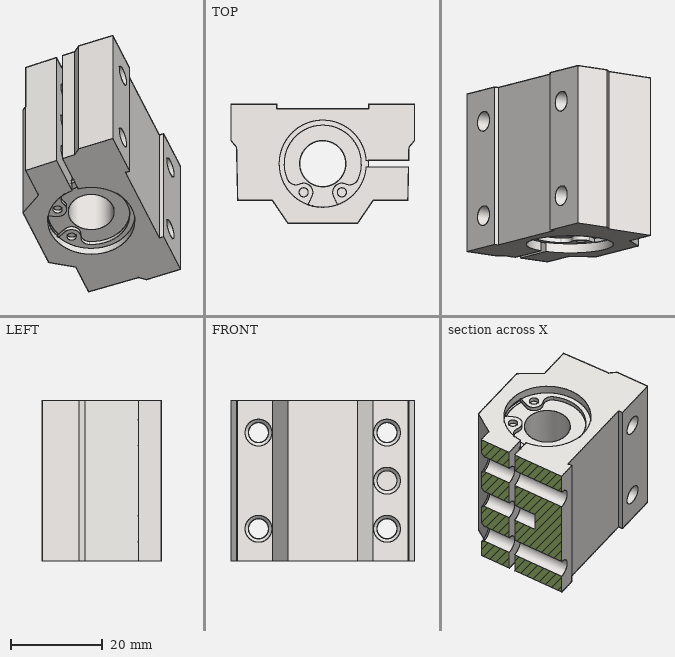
import math

import cadquery as cq

HEIGHT = 35.0
HALF_WIDTH = 20.0
HALF_DEPTH = 13.0
FLANGE_EDGE_Y = 5.0
WAIST_HALF_WIDTH = 18.8
WAIST_Y = 3.6
SHOULDER_HALF_WIDTH = 18.55
SHOULDER_Y = -8.0
BOSS_BASE_HALF_WIDTH = 11.0
BOSS_TIP_HALF_WIDTH = 7.6
RELIEF_HALF_WIDTH = 10.0
RELIEF_DEPTH = 1.0
SLOT_WIDTH = 1.4

SCREW_X = 14.0
SCREW_Z = 10.5
SCREW_DIAMETER = 4.3
COUNTERSINK_DIAMETER = 5.85
COUNTERSINK_DEPTH = (COUNTERSINK_DIAMETER - SCREW_DIAMETER) / 2
CLAMP_HOLE_DEPTH = 14.0

BEARING_RADIUS = 9.5
SHAFT_RADIUS = 5.0

RING_RECESS = 2.0
RING_THICKNESS = 1.0
RING_OUTER_RADIUS = 10.0
RING_INNER_RADIUS = 8.4
LUG_X = 4.15
LUG_Y = -6.25
LUG_RADIUS = 2.0
LUG_FILLET_RADIUS = 2.0
LUG_HOLE_DIAMETER = 2.0
GAP_FLANK_ANGLE = math.radians(25)

RING_TOP_Z = HEIGHT / 2 - RING_RECESS
RING_BASES_Z = (RING_TOP_Z - RING_THICKNESS, -RING_TOP_Z)
BEARING_LENGTH = HEIGHT - 2 * (RING_RECESS + RING_THICKNESS)


def cylinder(radius, length, base_z):
    return cq.Workplane("XY").workplane(offset=base_z).circle(radius).extrude(length)


def screw_hole(x, z, depth):
    """Countersunk hole entering the shoulder face and running towards +Y."""
    entry = cq.Vector(x, SHOULDER_Y, z)
    inward = cq.Vector(0, 1, 0)
    drill = cq.Solid.makeCylinder(SCREW_DIAMETER / 2, depth, entry, inward)
    cone = cq.Solid.makeCone(
        COUNTERSINK_DIAMETER / 2, SCREW_DIAMETER / 2, COUNTERSINK_DEPTH, entry, inward
    )
    return drill.fuse(cone)


def make_housing():
    right_side = [
        (RELIEF_HALF_WIDTH, HALF_DEPTH - RELIEF_DEPTH),
        (RELIEF_HALF_WIDTH, HALF_DEPTH),
        (HALF_WIDTH, HALF_DEPTH),
        (HALF_WIDTH, FLANGE_EDGE_Y),
        (WAIST_HALF_WIDTH, WAIST_Y),
        (SHOULDER_HALF_WIDTH, SHOULDER_Y),
        (BOSS_BASE_HALF_WIDTH, SHOULDER_Y),
        (BOSS_TIP_HALF_WIDTH, -HALF_DEPTH),
    ]
    left_side = [(-x, y) for x, y in reversed(right_side)]
    body = cq.Workplane("XY").polyline(right_side + left_side).close().extrude(HEIGHT / 2, both=True)

    body = body.cut(cylinder(BEARING_RADIUS, HEIGHT, -HEIGHT / 2))
    for base_z in RING_BASES_Z:
        body = body.cut(cylinder(RING_OUTER_RADIUS, RING_THICKNESS, base_z))

    slot = cq.Workplane("XY").box(HALF_WIDTH, SLOT_WIDTH, HEIGHT, centered=(False, True, True))
    body = body.cut(slot)

    through_depth = HALF_DEPTH - SHOULDER_Y
    for x in (-SCREW_X, SCREW_X):
        for z in (-SCREW_Z, SCREW_Z):
            body = body.cut(cq.Workplane(screw_hole(x, z, through_depth)))
    return body.cut(cq.Workplane(screw_hole(SCREW_X, 0, CLAMP_HOLE_DEPTH)))


def make_bearing():
    sleeve = cylinder(BEARING_RADIUS, BEARING_LENGTH, -BEARING_LENGTH / 2)
    return sleeve.cut(cylinder(SHAFT_RADIUS, BEARING_LENGTH, -BEARING_LENGTH / 2))


def right_end_outline():
    """Points on the +X end of the ring, from the inner arc round the lug to the outer arc."""
    lug = cq.Vector(LUG_X, LUG_Y, 0)

    lug_distance = lug.Length
    fillet_distance = RING_INNER_RADIUS - LUG_FILLET_RADIUS
    lug_to_fillet = LUG_RADIUS + LUG_FILLET_RADIUS
    cosine = (lug_distance**2 + fillet_distance**2 - lug_to_fillet**2) / (2 * lug_distance * fillet_distance)
    fillet_angle = math.atan2(LUG_Y, LUG_X) + math.acos(cosine)
    outward = cq.Vector(math.cos(fillet_angle), math.sin(fillet_angle), 0)
    fillet = outward * fillet_distance
    to_lug = (lug - fillet).normalized()

    inner_end = outward * RING_INNER_RADIUS
    fillet_middle = fillet + (outward + to_lug).normalized() * LUG_FILLET_RADIUS
    lug_start = fillet + to_lug * LUG_FILLET_RADIUS

    flank_normal = cq.Vector(-math.cos(GAP_FLANK_ANGLE), -math.sin(GAP_FLANK_ANGLE), 0)
    flank = cq.Vector(math.sin(GAP_FLANK_ANGLE), -math.cos(GAP_FLANK_ANGLE), 0)
    lug_end = lug + flank_normal * LUG_RADIUS
    lug_middle = lug + (flank_normal - to_lug).normalized() * LUG_RADIUS
    along = lug_end.dot(flank)
    flank_length = math.sqrt(along**2 + RING_OUTER_RADIUS**2 - lug_end.dot(lug_end)) - along
    outer_end = lug_end + flank * flank_length

    points = (inner_end, fillet_middle, lug_start, lug_middle, lug_end, outer_end)
    return [(point.x, point.y) for point in points]


def make_ring(base_z):
    right = right_end_outline()
    left = [(-x, y) for x, y in right]
    inner_r, fillet_mid_r, lug_start_r, lug_mid_r, lug_end_r, outer_r = right
    inner_l, fillet_mid_l, lug_start_l, lug_mid_l, lug_end_l, outer_l = left
    ring = (
        cq.Workplane("XY").workplane(offset=base_z)
        .moveTo(*outer_r)
        .threePointArc((0, RING_OUTER_RADIUS), outer_l)
        .lineTo(*lug_end_l)
        .threePointArc(lug_mid_l, lug_start_l)
        .threePointArc(fillet_mid_l, inner_l)
        .threePointArc((0, RING_INNER_RADIUS), inner_r)
        .threePointArc(fillet_mid_r, lug_start_r)
        .threePointArc(lug_mid_r, lug_end_r)
        .close()
        .extrude(RING_THICKNESS)
    )
    for x in (-LUG_X, LUG_X):
        hole = cylinder(LUG_HOLE_DIAMETER / 2, RING_THICKNESS, base_z).translate((x, LUG_Y, 0))
        ring = ring.cut(hole)
    return ring


housing = make_housing()
bearing = make_bearing()
rings = [make_ring(base_z) for base_z in RING_BASES_Z]

result = cq.Compound.makeCompound([housing.val(), bearing.val(), *[ring.val() for ring in rings]])